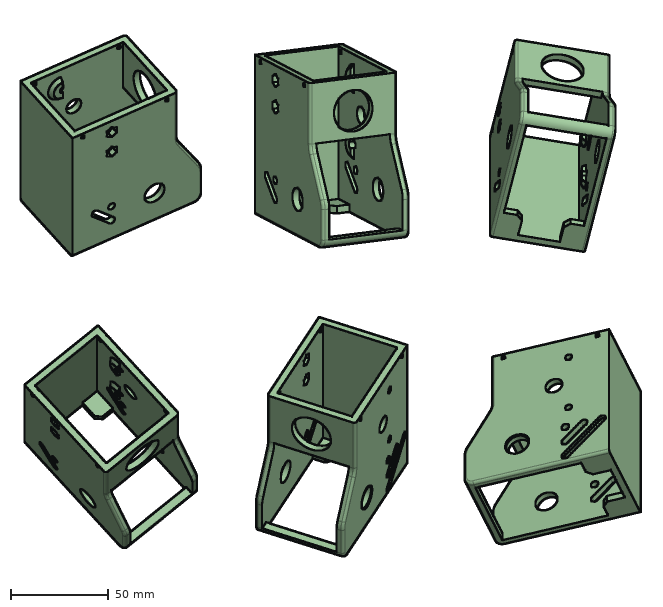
import cadquery as cq
import math

width = 50.0
depth = 79.0
height = 85
wall = 4.0
front_wall = 3.9
half_width = width / 2
inner_half = half_width - wall

top_depth = 64.0
slope_angle = 30
slope_bottom = 24.0
slope_top = slope_bottom + (depth - top_depth) / math.tan(math.radians(slope_angle))
bend_radius = 10.0
bend_tangent = bend_radius * math.tan(math.radians(slope_angle / 2))
foot_radius = 5.0
edge_round = 1.5

back_wall_bottom = slope_top + bend_tangent
bar_thickness = 5.0
bar_height = 5.0
back_hole_diameter = 22.0
back_hole_height = 67.5

tab_width = 10.0
tab_length = 12.6
tab_thickness = wall
tab_chamfer = 3.0

pin_diameter = 2.0
pin_inset = 2.5
pin_spots = [(y, height - pin_inset) for y in (front_wall + pin_inset, top_depth - wall - pin_inset)]

axle_diameter = 12.0
axle_chamfer = 0.5
axle_spot = (50.0, 20.0)

shaft_diameter = 9.0
motor_height = 54.65
shaft_spot = (30.0, motor_height)
screw_diameter = 3.6
screw_y = 22.0
screw_pitch = 35.0
screw_spots = [(screw_y, motor_height + side * screw_pitch / 2) for side in (-1, 1)]
boss_height = 2.1
boss_base_radius = 7.65
boss_tip_radius = boss_base_radius - boss_height

slot_width = 4.0
slot_y = 23.8
slot_z = 24.0
short_slot_run = 10.0
long_slot_run = 20.0
long_slot_depth = 2.0

nut_flats = 6.0
nut_y = 24.0
nut_heights = (63.0, 77.0)


def side_plane(x):
    """Plane across X, with local axes along Y and Z."""
    return cq.Workplane("YZ", origin=(x, 0, 0))


def round_corner(solid, y, z, radius):
    """Fillet the edge along X that passes through the given Y and Z."""
    reach = 0.85
    low = (-reach, y - reach, z - reach)
    high = (reach, y + reach, z + reach)
    return solid.edges(cq.selectors.BoxSelector(low, high)).fillet(radius)


def make_body():
    """Solid block with the stepped profile and rounded side edges."""
    profile = [
        (0, 0),
        (depth, 0),
        (depth, slope_bottom),
        (top_depth, slope_top),
        (top_depth, height),
        (0, height),
    ]
    body = side_plane(-half_width).polyline(profile).close().extrude(width)
    body = round_corner(body, depth, 0, foot_radius)
    body = round_corner(body, depth, slope_bottom, bend_radius)
    body = round_corner(body, top_depth, slope_top, bend_radius)
    side_edges = body.faces("<X or >X").edges("not (<Y or (>Z and |Y))")
    return side_edges.fillet(edge_round)


def make_cavity():
    """Open space between the sides, reaching out through the top, bottom and sloping back."""
    outline = [
        (front_wall, 0),
        (depth - bar_thickness, 0),
        (depth - bar_thickness, bar_height),
        (depth, bar_height),
        (depth, back_wall_bottom),
        (top_depth - wall, back_wall_bottom),
        (top_depth - wall, height),
        (front_wall, height),
    ]
    return side_plane(-inner_half).polyline(outline).close().extrude(2 * inner_half)


def make_tabs():
    """Flat chamfered tabs in the two bottom front corners."""
    tabs = cq.Workplane()
    for side in (-1, 1):
        tab = (
            cq.Workplane()
            .box(tab_width, tab_length, tab_thickness, centered=(True, False, False))
            .edges("|Z and >Y")
            .edges("<X" if side > 0 else ">X")
            .chamfer(tab_chamfer)
            .translate((side * (inner_half - tab_width / 2), front_wall, 0))
        )
        tabs = tabs.add(tab)
    return tabs.combine()


def make_bosses():
    """Half cones on the inside of the -X side, cut flat at the screw axis."""
    bosses = cq.Workplane()
    for y, z in screw_spots:
        cone = cq.Solid.makeCone(
            boss_base_radius,
            boss_tip_radius,
            boss_height,
            pnt=cq.Vector(-inner_half, y, z),
            dir=cq.Vector(1, 0, 0),
        )
        bosses = bosses.add(cone)
    front_half = cq.Workplane().box(width, screw_y, height, centered=(True, False, False))
    return bosses.combine().intersect(front_half)


def cross_holes(spots, diameter, length=width):
    """Round holes along X, starting at the outside of the -X side."""
    return side_plane(-half_width).pushPoints(spots).circle(diameter / 2).extrude(length)


def diagonal_slot(run, slot_depth):
    """Slot cut from the -X side, falling at 45 degrees towards the back."""
    slot_length = run * math.sqrt(2) + slot_width
    return (
        side_plane(-half_width)
        .center(slot_y - run / 2, slot_z - run / 2)
        .slot2D(slot_length, slot_width, angle=-45)
        .extrude(slot_depth)
    )


def axle_rim():
    """Cone that chamfers the axle hole on the outside of the -X side."""
    return cq.Workplane(
        cq.Solid.makeCone(
            axle_diameter / 2 + axle_chamfer,
            axle_diameter / 2,
            axle_chamfer,
            pnt=cq.Vector(-half_width, *axle_spot),
            dir=cq.Vector(1, 0, 0),
        )
    )


def nut_holes():
    """Hexagons with flats facing front and back."""
    corner_diameter = nut_flats / math.cos(math.radians(30))
    holes = cq.Workplane()
    for z in nut_heights:
        turned = cq.Workplane("YZ", origin=(inner_half, nut_y, z)).transformed(rotate=(0, 0, 30))
        holes = holes.add(turned.polygon(6, corner_diameter).extrude(wall))
    return holes.combine()


def back_hole():
    """Round opening through the back wall."""
    return (
        cq.Workplane("XZ", origin=(0, top_depth, 0))
        .center(0, back_hole_height)
        .circle(back_hole_diameter / 2)
        .extrude(wall)
    )


result = make_body().cut(make_cavity()).union(make_tabs()).union(make_bosses())
result = result.cut(back_hole())
result = result.cut(cross_holes(pin_spots, pin_diameter))
result = result.cut(cross_holes([axle_spot], axle_diameter)).cut(axle_rim())
result = result.cut(cross_holes([shaft_spot], shaft_diameter, length=wall))
result = result.cut(cross_holes(screw_spots, screw_diameter, length=wall + boss_height))
result = result.cut(cross_holes([(slot_y, slot_z)], slot_width))
result = result.cut(diagonal_slot(short_slot_run, width))
result = result.cut(diagonal_slot(long_slot_run, long_slot_depth))
result = result.cut(nut_holes())